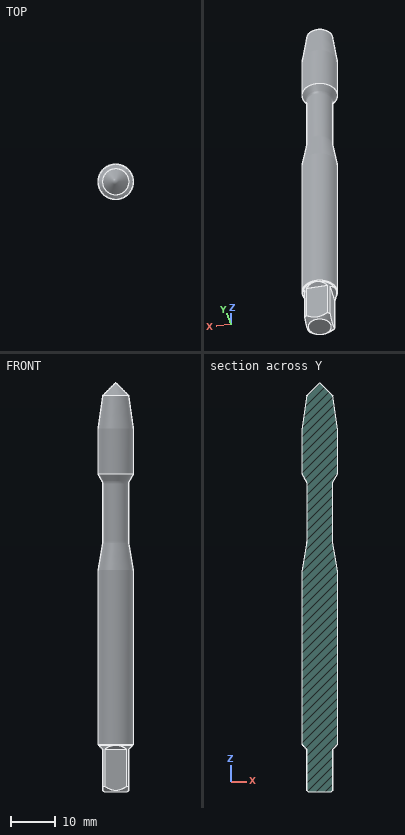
import cadquery as cq
import math

length = 93.0
body_radius = 8.1 / 2
neck_radius = 5.95 / 2

shank_end = 10.8
shank_top = 50.3
neck_bottom = 56.6
head_bottom = 72.2
lead_bottom = 82.5
lead_top = length - neck_radius

undercut_angle = math.radians(30)
neck_top = head_bottom - (body_radius - neck_radius) / math.tan(undercut_angle)
head_fillet = 1.1
shank_fillet = 2.2

corner_radius = 7.7 / 2
square_width = 5.95
drive_end_radius = 2.6
drive_chamfer = corner_radius - drive_end_radius
shank_chamfer = body_radius - corner_radius
flat_top = shank_end - (body_radius - square_width / 2)


def turned_body():
    """Body of revolution, before the square is cut."""
    profile = (
        cq.Workplane("XZ")
        .polyline([
            (0, 0),
            (drive_end_radius, 0),
            (corner_radius, drive_chamfer),
            (corner_radius, shank_end - shank_chamfer),
            (body_radius, shank_end),
            (body_radius, shank_top),
            (neck_radius, neck_bottom),
            (neck_radius, neck_top),
            (body_radius, head_bottom),
            (body_radius, lead_bottom),
            (neck_radius, lead_top),
            (0, length),
        ])
        .close()
    )
    return profile.revolve(360, (0, 0, 0), (0, 1, 0))


def round_neck_end(body, height, radius):
    """Blend the neck into the cone that meets it at the given height."""
    reach = 0.1
    edge_zone = cq.selectors.BoxSelector(
        (-body_radius, -body_radius, height - reach),
        (body_radius, body_radius, height + reach),
        boundingbox=True,
    )
    return body.edges(edge_zone).fillet(radius)


def flat_cutter():
    """Material removed from the +X side to form one flat and its runout."""
    half_square = square_width / 2
    outer = 2 * body_radius
    overrun = 0.9
    return (
        cq.Workplane("XZ")
        .polyline([
            (half_square, -overrun),
            (half_square, flat_top),
            (outer, flat_top + outer - half_square),
            (outer, -overrun),
        ])
        .close()
        .extrude(body_radius, both=True)
    )


result = turned_body()
result = round_neck_end(result, neck_bottom, shank_fillet)
result = round_neck_end(result, neck_top, head_fillet)
for side in range(4):
    result = result.cut(flat_cutter().rotate((0, 0, 0), (0, 0, 1), 90 * side))